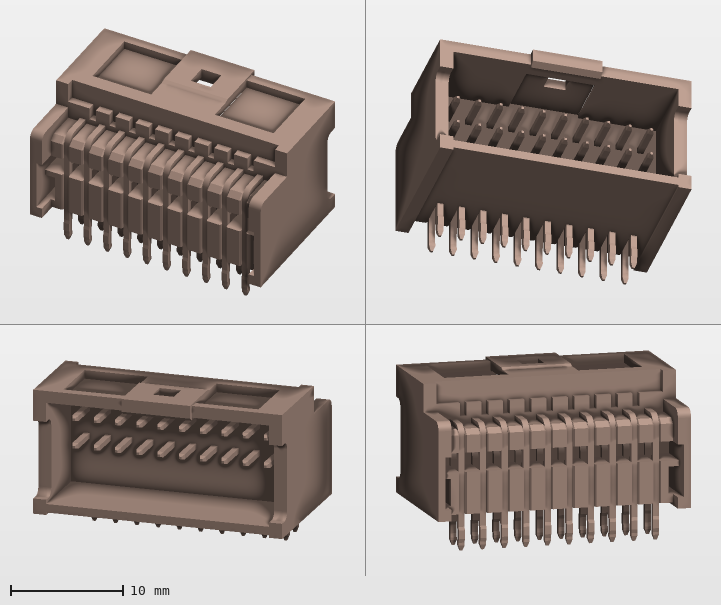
import cadquery as cq


length = 23.4
side_wall = 1.22
shell_depth = 9.0
shell_top = 11.6
shell_bottom = 0.23
inner_half = length / 2 - side_wall

cavity_depth = 7.02
cavity_floor = 1.03
cavity_ceiling = 10.5

notch_depth = 1.43
notch_bottom = 1.43
notch_top = 8.7
notch_radius = 0.7

wing_front = -13.95
wing_top = 9.03
wing_radius = 0.8

lip_depth = 0.73
lip_top = 9.66
lip_slot_width = 0.63
lip_slot_bottom = 8.47

latch_half = 3.23
latch_overhang = 0.55
latch_top = 11.77
latch_nose_bottom = 10.58
latch_root_bottom = 10.2
latch_ramp_start = -4.47
latch_ramp_end = -4.94
window_size = 2.01
window_center_y = -2.55
relief_ceiling = 10.85

pocket_half = 9.17
pocket_back = -0.94
pocket_front = -6.88
pocket_depth = 0.8

pins_per_row = 10
pitch = 2.0
row_pitch = 2.57
pin_width = 0.55
pin_thickness = 0.5
bend_radius = 1.03
outer_pin_top = 8.3
outer_pin_front = -11.98
mating_tip_y = -3.35
tail_tip_z = -3.14
tip_length = 0.47
tip_size = 0.23
kink_offset = 0.1
kink_start = -0.95
kink_full = -1.26
kink_release = -2.05
kink_end = -2.4

fin_front = -12.28
fin_top = 7.9
fin_slope_run = 0.55
fin_slope_drop = 0.47
fin_chamfer = 0.12

slot_bottom = 4.07
slot_top = 5.83
groove_half = 11.05
groove_bottom = 1.03
ledge_bottom = 3.53
end_window_half = 10.06


def box(x0, x1, y0, y1, z0, z1):
    """Box between two opposite corners."""
    return cq.Workplane("XY").box(x1 - x0, y1 - y0, z1 - z0, centered=False).translate((x0, y0, z0))


def on_both_sides(shape):
    """A shape on the +X side together with its mirror image on the -X side."""
    return shape.union(shape.mirror("YZ"))


def centered_row(count):
    """X positions of a row of evenly pitched items centred on X = 0."""
    return [(i - (count - 1) / 2) * pitch for i in range(count)]


def make_shell():
    shell = box(-length / 2, length / 2, -shell_depth, 0, 0, shell_top)
    shell = shell.cut(box(-inner_half, inner_half, -shell_depth, 0, 0, shell_bottom))
    lip_back = -shell_depth + lip_depth
    shell = shell.cut(box(-inner_half, inner_half, -shell_depth, lip_back, lip_top, shell_top))
    for x in centered_row(pins_per_row - 1):
        left = x - lip_slot_width / 2
        right = x + lip_slot_width / 2
        shell = shell.cut(box(left, right, -shell_depth, lip_back, lip_slot_bottom, lip_top))
    pocket = box(latch_half, pocket_half, pocket_front, pocket_back, shell_top - pocket_depth, shell_top)
    return shell.cut(on_both_sides(pocket))


def make_wings():
    wing = box(inner_half, length / 2, wing_front, -shell_depth, 0, wing_top)
    wing = wing.edges("|X and >Z and <Y").fillet(wing_radius)
    groove = box(inner_half, groove_half, wing_front, -shell_depth, groove_bottom, slot_top)
    return on_both_sides(wing.cut(groove))


def make_latch():
    profile = [
        (0, latch_root_bottom),
        (latch_overhang, latch_nose_bottom),
        (latch_overhang, latch_top),
        (latch_ramp_start, latch_top),
        (latch_ramp_end, shell_top),
        (latch_ramp_end, cavity_ceiling),
        (0, cavity_ceiling),
    ]
    return cq.Workplane("YZ").polyline(profile).close().extrude(latch_half, both=True)


def make_mating_openings():
    """Mating cavity, side notch, latch window and latch relief, as one cutting shape."""
    cavity = box(-inner_half, inner_half, -cavity_depth, 0, cavity_floor, cavity_ceiling)
    notch = box(-length / 2, length / 2, -notch_depth, 0, notch_bottom, notch_top)
    notch = notch.edges("|X and <Y").fillet(notch_radius)
    window_half = window_size / 2
    window_front = window_center_y - window_half
    window_back = window_center_y + window_half
    window = box(-window_half, window_half, window_front, window_back, cavity_ceiling, latch_top)
    relief = box(-latch_half, latch_half, -cavity_depth, window_back, cavity_ceiling, relief_ceiling)
    return cavity.union(notch).union(window).union(relief)


def make_fin(left, right):
    """One guide fin, with its exposed side edges chamfered toward the pin channels."""
    slope_start = (fin_front + fin_slope_run, fin_top)
    slope_end = (fin_front, fin_top - fin_slope_drop)
    profile = [
        (-shell_depth, shell_bottom),
        (-shell_depth, fin_top),
        slope_start,
        slope_end,
        (fin_front, shell_bottom),
    ]
    fin = cq.Workplane("YZ").workplane(offset=left).polyline(profile).close().extrude(right - left)
    margin = 0.23
    exposed_edges = cq.selectors.BoxSelector(
        (left - margin, fin_front - margin, shell_bottom + margin),
        (right + margin, -shell_depth - margin, fin_top + margin),
    )
    channel_sides = []
    if left > -inner_half:
        channel_sides.append("<X")
    if right < inner_half:
        channel_sides.append(">X")
    for side in channel_sides:
        fin = fin.faces(side).edges(exposed_edges).chamfer(fin_chamfer)
    return fin


def make_fins():
    pin_positions = centered_row(pins_per_row)
    left_ends = [-inner_half] + [x + pin_width / 2 for x in pin_positions]
    right_ends = [x - pin_width / 2 for x in pin_positions] + [inner_half]
    fins = cq.Workplane("XY")
    for left, right in zip(left_ends, right_ends):
        fins = fins.add(make_fin(left, right))
    fins = fins.combine()
    fins = fins.cut(box(-inner_half, inner_half, fin_front, -shell_depth, slot_bottom, slot_top))

    ledge = box(inner_half, groove_half, fin_front, -shell_depth, ledge_bottom, slot_bottom)
    end_window = box(end_window_half, inner_half, fin_front, -shell_depth, groove_bottom, ledge_bottom)
    return fins.cut(on_both_sides(end_window)).union(on_both_sides(ledge))


def make_pin(front, top, kink):
    """Bent pin at X = 0; `kink` is the Y shift of the retention kink in its tail."""
    back = front + pin_thickness
    bottom = top - pin_thickness
    inner_radius = bend_radius - pin_thickness
    bend_y = front + bend_radius
    bend_z = top - bend_radius
    tail_end = tail_tip_z + tip_length
    mating_end = mating_tip_y - tip_length

    profile = (
        cq.Workplane("YZ")
        .moveTo(mating_end, top)
        .lineTo(bend_y, top)
        .radiusArc((front, bend_z), -bend_radius)
        .lineTo(front, kink_start)
        .lineTo(front + kink, kink_full)
        .lineTo(front + kink, kink_release)
        .lineTo(front, kink_end)
        .lineTo(front, tail_end)
        .lineTo(back, tail_end)
        .lineTo(back, kink_end)
        .lineTo(back + kink, kink_release)
        .lineTo(back + kink, kink_full)
        .lineTo(back, kink_start)
        .lineTo(back, bend_z)
        .radiusArc((bend_y, bottom), inner_radius)
        .lineTo(mating_end, bottom)
        .close()
    )
    pin = profile.extrude(pin_width / 2, both=True)
    down = cq.Plane(origin=(0, (front + back) / 2, tail_end), xDir=(1, 0, 0), normal=(0, 0, -1))
    toward_mate = cq.Plane(origin=(0, mating_end, (top + bottom) / 2), xDir=(1, 0, 0), normal=(0, 1, 0))
    for plane in (down, toward_mate):
        base = cq.Workplane(plane).rect(pin_width, pin_thickness)
        pin = pin.union(base.workplane(offset=tip_length).rect(tip_size, tip_size).loft())
    return pin


housing = make_shell().union(make_latch()).union(make_wings())
housing = housing.cut(make_mating_openings()).union(make_fins())

outer_pin = make_pin(outer_pin_front, outer_pin_top, -kink_offset)
inner_pin = make_pin(outer_pin_front + row_pitch, outer_pin_top - row_pitch, kink_offset)

result = housing
for pin_x in centered_row(pins_per_row):
    result = result.union(outer_pin.translate((pin_x, 0, 0))).union(inner_pin.translate((pin_x, 0, 0)))